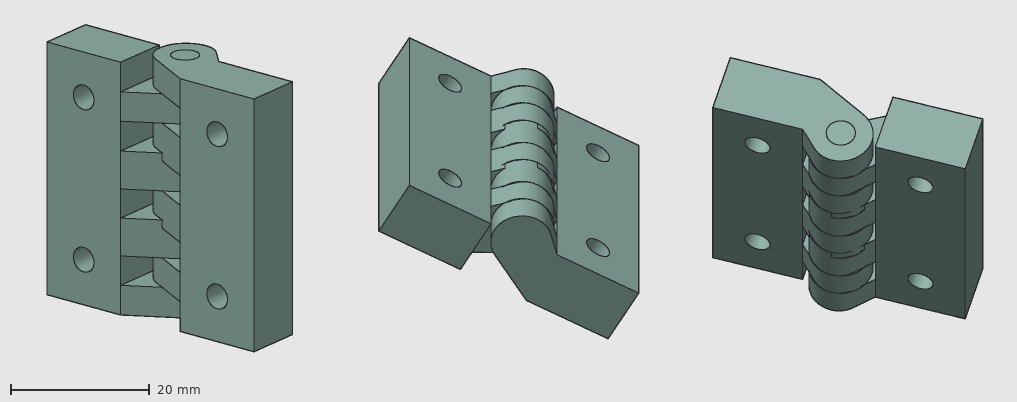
import cadquery as cq
import math

height = 39.0
width = 38.0
leaf_gap = 10.92
leaf_thickness = 9.05
leaf_inner_x = leaf_gap / 2
leaf_width = (width - leaf_gap) / 2

hole_diameter = 3.8
hole_x = 12.25
hole_edge_distance = 7.0

depth = 13.0
left_barrel_radius = 4.52
right_barrel_radius = 4.7
crown_radius = 8.0 / 2
crown_y = depth - crown_radius

left_knuckles = [(0.0, 4.6), (9.13, 14.98), (19.45, 25.3), (29.9, 34.45)]
right_knuckles = [(4.6, 9.13), (13.73, 19.45), (24.05, 29.9), (34.45, height)]

pin_diameter = 4.2
pin_y = 8.1

LEFT = -1
RIGHT = 1


def tangent_angle(corner_y, center_y, radius, turn):
    """Angle of the tangent point on an arc, for a line from a right leaf corner."""
    rise = corner_y - center_y
    distance = math.hypot(leaf_inner_x, rise)
    return math.atan2(rise, leaf_inner_x) + turn * math.acos(radius / distance)


def arc_point(center_y, radius, angle, side):
    """Point on an arc centred on x = 0, mirrored for the left side."""
    return (side * radius * math.cos(angle), center_y + radius * math.sin(angle))


def make_plate(side):
    """Rectangular leaf plate with two screw holes along Y."""
    plate_x = leaf_inner_x if side == RIGHT else -leaf_inner_x - leaf_width
    plate = cq.Workplane("XY").box(leaf_width, leaf_thickness, height, centered=False)
    plate = plate.translate((plate_x, 0, 0))
    for hole_z in (hole_edge_distance, height - hole_edge_distance):
        hole = cq.Solid.makeCylinder(
            hole_diameter / 2,
            leaf_thickness,
            cq.Vector(side * hole_x, 0, hole_z),
            cq.Vector(0, 1, 0),
        )
        plate = plate.cut(cq.Workplane(hole))
    return plate


def make_knuckle(side, barrel_radius, bottom, top):
    """Barrel joined to its leaf by two tangent flanks."""
    barrel_y = depth - barrel_radius
    apex_angle = math.pi / 2
    crown_start = tangent_angle(leaf_thickness, crown_y, crown_radius, 1)
    crown_middle = (crown_start + apex_angle) / 2
    barrel_end = tangent_angle(0, barrel_y, barrel_radius, -1) + 2 * math.pi
    barrel_middle = (apex_angle + barrel_end) / 2
    return (
        cq.Workplane("XY", origin=(0, 0, bottom))
        .moveTo(side * leaf_inner_x, 0)
        .lineTo(side * leaf_inner_x, leaf_thickness)
        .lineTo(*arc_point(crown_y, crown_radius, crown_start, side))
        .threePointArc(arc_point(crown_y, crown_radius, crown_middle, side), (0, depth))
        .threePointArc(
            arc_point(barrel_y, barrel_radius, barrel_middle, side),
            arc_point(barrel_y, barrel_radius, barrel_end, side),
        )
        .close()
        .extrude(top - bottom)
    )


def make_leaf(side, barrel_radius, knuckles):
    """Plate with all of its knuckles."""
    leaf = make_plate(side)
    for bottom, top in knuckles:
        leaf = leaf.union(make_knuckle(side, barrel_radius, bottom, top))
    return leaf


pin = cq.Workplane("XY").center(0, pin_y).circle(pin_diameter / 2).extrude(height)
left_leaf = make_leaf(LEFT, left_barrel_radius, left_knuckles).union(pin)

right_leaf = make_leaf(RIGHT, right_barrel_radius, right_knuckles).cut(left_leaf)

result = cq.Compound.makeCompound([left_leaf.val(), right_leaf.val()])